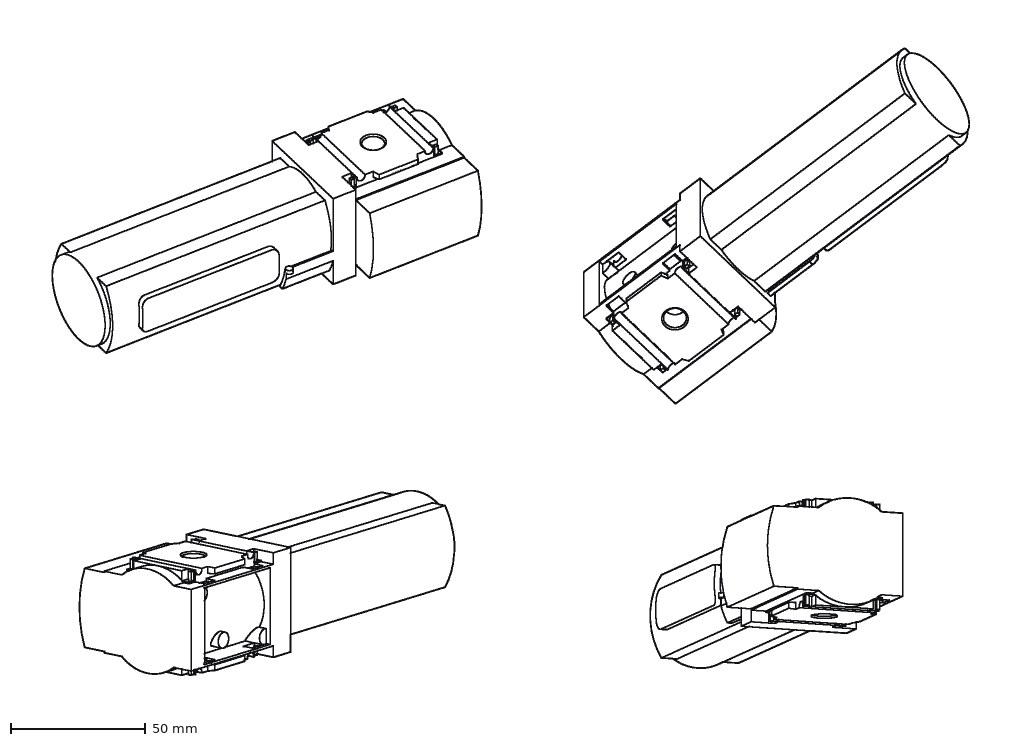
import cadquery as cq
import math

LENGTH = 160.4

COLLAR_HALF_X = 21.0
COLLAR_HALF_Z = 40.3 / 2
COLLAR_FRONT_Y = 100.2
COLLAR_BACK_Y = 110.4

FRAME_HALF_Z = 15.7
FRAME_BACK_Y = 158.3
CAP_FRONT_Y = 152.4
CROWN_FLAT_RADIUS = 10.0

BOWL_RADIUS = 36.4 / 2
BOWL_CONE_Y = 1.1
BOWL_TIP_RADIUS = 11.2
WING_FRONT_Y = 3.4
WING_HALF_X = 19.9
WING_CORNER_X = 15.4
WING_HALF_Z = FRAME_HALF_Z

PORT_Y = 131.5
PAD_HALF_X = 15.0
PAD_HALF_Y = 17.2
SADDLE_HALF_Z = 16.2
BRIDGE_HALF_X = 11.5
GROOVE_OFFSET_Y = 15.0
GROOVE_RADIUS = 1.8
GROOVE_DEPTH = 2.1
PORT_DIAMETER = 8.5
PORT_MOUTH_DIAMETER = 9.8
PORT_DEPTH = 9.6

RIB_REACH = 2.4
RIB_TIP_HALF_Y = 8.7
RIB_ROOT_HALF_Y = 9.8
RIB_BOTTOM_Z = 17.5
RIB_TIP_Z = 19.7

POST_WIDTH = 1.3
POST_LENGTH = 1.5
POST_GAP = 0.6
POST_INSET = 0.3
POST_TOP_Z = 19.9

WINDOW_FRONT_Y = 112.3
WINDOW_BACK_Y = 150.5
WINDOW_HALF_Z = 14.8
SLOT_OUTER_X = 19.2
SLOT_INNER_Y = 10.9
PIN_DIAMETER = 6.1
PIN_FACE_X = 19.2
CORNER_PIN_OFFSET_Y = 18.3
CORNER_PIN_Z = 11.9
LOWER_PIN_OFFSET_Y = 5.8
LOWER_PIN_Z = -8.3

PLATE_OUTER_X = 33.0
PLATE_EDGE_X = 30.5
PLATE_HALF_Z = 15.2

PANEL_FRONT_Y = 15.2
PANEL_BACK_Y = 75.7
PANEL_HALF_Z = 7.7
PANEL_CORNER_RADIUS = 3.0
BULGE_OFFSET = 2.4
LATCH_FRONT_Y = 79.4
LATCH_TOP_Z = -4.5
LATCH_BOTTOM_Z = -15.2
LATCH_GAP = 0.8
KNOB_RADIUS = 1.5
KNOB_X = COLLAR_HALF_X
KNOB_HEIGHT = 1.8


def span_box(x_span, y_span, z_span):
    """Box between two limits along each axis."""
    spans = (x_span, y_span, z_span)
    sizes = [high - low for low, high in spans]
    corner = tuple(low for low, high in spans)
    return cq.Workplane("XY").box(*sizes, centered=False).translate(corner)


def along_y(front_y):
    """Sketch plane across the bowl axis; solids extruded by -length grow toward +Y."""
    return cq.Workplane("XZ", origin=(0, front_y, 0))


def make_bowl():
    """Tube with a conical tip and two bulged wings along its sides."""
    core = (
        cq.Workplane("XY")
        .moveTo(0, 0)
        .lineTo(BOWL_TIP_RADIUS, 0)
        .lineTo(BOWL_RADIUS, BOWL_CONE_Y)
        .lineTo(BOWL_RADIUS, COLLAR_BACK_Y)
        .lineTo(0, COLLAR_BACK_Y)
        .close()
        .revolve(360, (0, 0, 0), (0, 1, 0))
    )
    wings = (
        along_y(WING_FRONT_Y)
        .moveTo(-WING_CORNER_X, -WING_HALF_Z)
        .lineTo(WING_CORNER_X, -WING_HALF_Z)
        .threePointArc((WING_HALF_X, 0), (WING_CORNER_X, WING_HALF_Z))
        .lineTo(-WING_CORNER_X, WING_HALF_Z)
        .threePointArc((-WING_HALF_X, 0), (-WING_CORNER_X, -WING_HALF_Z))
        .close()
        .extrude(WING_FRONT_Y - COLLAR_BACK_Y)
    )
    return core.union(wings)


def make_bulged_slab(front_y, back_y, offset):
    """Slab reaching from X = 0 to a bulged face lying a given offset outside the +X wing."""
    rise = WING_HALF_X - WING_CORNER_X
    wing_radius = (WING_HALF_Z**2 + rise**2) / (2 * rise)
    center_x = WING_HALF_X - wing_radius
    face_radius = wing_radius + offset
    edge_x = center_x + math.sqrt(face_radius**2 - WING_HALF_Z**2)
    return (
        along_y(front_y)
        .moveTo(0, -WING_HALF_Z)
        .lineTo(edge_x, -WING_HALF_Z)
        .threePointArc((center_x + face_radius, 0), (edge_x, WING_HALF_Z))
        .lineTo(0, WING_HALF_Z)
        .close()
        .extrude(front_y - back_y)
    )


def make_sight_panel():
    """Rounded panel laid on the +X wing of the bowl."""
    outline = span_box(
        (WING_CORNER_X, PLATE_OUTER_X), (PANEL_FRONT_Y, PANEL_BACK_Y), (-PANEL_HALF_Z, PANEL_HALF_Z)
    )
    outline = outline.edges("|X").fillet(PANEL_CORNER_RADIUS)
    return make_bulged_slab(PANEL_FRONT_Y, PANEL_BACK_Y, BULGE_OFFSET).intersect(outline)


def make_latch():
    """Curved tongue held by the collar and clear of the bowl, with a small knob at its end."""
    outline = span_box(
        (0, COLLAR_HALF_X), (LATCH_FRONT_Y, COLLAR_BACK_Y), (LATCH_BOTTOM_Z, LATCH_TOP_Z)
    )
    tongue = make_bulged_slab(LATCH_FRONT_Y, COLLAR_BACK_Y, BULGE_OFFSET).intersect(outline)
    tongue = tongue.cut(make_bulged_slab(LATCH_FRONT_Y, COLLAR_FRONT_Y, LATCH_GAP))
    knob = (
        cq.Workplane("XY", origin=(KNOB_X, LATCH_FRONT_Y + KNOB_RADIUS, LATCH_TOP_Z))
        .circle(KNOB_RADIUS)
        .extrude(-KNOB_HEIGHT)
    )
    return tongue.union(knob)


def make_head():
    """Collar, frame and round cap with a conical crown."""
    collar = span_box(
        (-COLLAR_HALF_X, COLLAR_HALF_X), (COLLAR_FRONT_Y, COLLAR_BACK_Y), (-COLLAR_HALF_Z, COLLAR_HALF_Z)
    )
    frame = span_box(
        (-COLLAR_HALF_X, COLLAR_HALF_X), (COLLAR_BACK_Y, FRAME_BACK_Y), (-FRAME_HALF_Z, FRAME_HALF_Z)
    )
    cap = (
        cq.Workplane("XY")
        .moveTo(0, CAP_FRONT_Y)
        .lineTo(COLLAR_HALF_Z, CAP_FRONT_Y)
        .lineTo(COLLAR_HALF_Z, FRAME_BACK_Y)
        .lineTo(CROWN_FLAT_RADIUS, LENGTH)
        .lineTo(0, LENGTH)
        .close()
        .revolve(360, (0, 0, 0), (0, 1, 0))
    )
    return collar.union(frame).union(cap)


def make_side_plate():
    """Plate with a bulged outer face on the +X side of the frame."""
    return (
        along_y(COLLAR_BACK_Y)
        .moveTo(0, -PLATE_HALF_Z)
        .lineTo(PLATE_EDGE_X, -PLATE_HALF_Z)
        .threePointArc((PLATE_OUTER_X, 0), (PLATE_EDGE_X, PLATE_HALF_Z))
        .lineTo(0, PLATE_HALF_Z)
        .close()
        .extrude(COLLAR_BACK_Y - FRAME_BACK_Y)
    )


def cut_window(head):
    """Open the -X side around the round core and slot the thin walls above and below."""
    core = along_y(WINDOW_FRONT_Y).circle(BOWL_RADIUS).extrude(WINDOW_FRONT_Y - WINDOW_BACK_Y)
    cavity = span_box(
        (-COLLAR_HALF_X, 0), (WINDOW_FRONT_Y, WINDOW_BACK_Y), (-WINDOW_HALF_Z, WINDOW_HALF_Z)
    )
    head = head.cut(cavity.cut(core))
    for slot_y in (
        (PORT_Y - PAD_HALF_Y, PORT_Y - SLOT_INNER_Y),
        (PORT_Y + SLOT_INNER_Y, PORT_Y + PAD_HALF_Y),
    ):
        for slot_z in ((-FRAME_HALF_Z, -WINDOW_HALF_Z), (WINDOW_HALF_Z, FRAME_HALF_Z)):
            head = head.cut(span_box((-SLOT_OUTER_X, -PAD_HALF_X), slot_y, slot_z))
    return head


def make_pins():
    """Round pins standing out of the core inside the window."""
    centers = [
        (PORT_Y + CORNER_PIN_OFFSET_Y, CORNER_PIN_Z),
        (PORT_Y - CORNER_PIN_OFFSET_Y, -CORNER_PIN_Z),
        (PORT_Y + LOWER_PIN_OFFSET_Y, LOWER_PIN_Z),
    ]
    pins = cq.Workplane("YZ", origin=(-PIN_FACE_X, 0, 0)).pushPoints(centers)
    pins = pins.circle(PIN_DIAMETER / 2).extrude(PIN_FACE_X)
    inside = span_box(
        (-COLLAR_HALF_X, 0), (COLLAR_BACK_Y, CAP_FRONT_Y), (-WINDOW_HALF_Z, WINDOW_HALF_Z)
    )
    return pins.intersect(inside)


def make_ribs():
    """Tapered clamping ribs on both sides of the upper pad, with tops sloping outward."""
    tip_x = PAD_HALF_X + RIB_REACH
    plan = (
        cq.Workplane("XY", origin=(0, PORT_Y, 0))
        .polyline(
            [
                (-PAD_HALF_X, -RIB_ROOT_HALF_Y),
                (-tip_x, -RIB_TIP_HALF_Y),
                (-tip_x, RIB_TIP_HALF_Y),
                (-PAD_HALF_X, RIB_ROOT_HALF_Y),
                (PAD_HALF_X, RIB_ROOT_HALF_Y),
                (tip_x, RIB_TIP_HALF_Y),
                (tip_x, -RIB_TIP_HALF_Y),
                (PAD_HALF_X, -RIB_ROOT_HALF_Y),
            ]
        )
        .close()
        .extrude(COLLAR_HALF_Z)
    )
    section = (
        along_y(PORT_Y - RIB_ROOT_HALF_Y)
        .polyline(
            [
                (-tip_x, RIB_BOTTOM_Z),
                (tip_x, RIB_BOTTOM_Z),
                (tip_x, RIB_TIP_Z),
                (PAD_HALF_X, COLLAR_HALF_Z),
                (-PAD_HALF_X, COLLAR_HALF_Z),
                (-tip_x, RIB_TIP_Z),
            ]
        )
        .close()
        .extrude(-2 * RIB_ROOT_HALF_Y)
    )
    return plan.intersect(section)


def make_upper_pad():
    """Grooved pad with its saddle, end bridges, ribs and corner posts."""
    pad_x = (-PAD_HALF_X, PAD_HALF_X)
    pad_y = (PORT_Y - PAD_HALF_Y, PORT_Y + PAD_HALF_Y)
    saddle_y = (COLLAR_BACK_Y, CAP_FRONT_Y)
    pad = span_box(pad_x, pad_y, (WINDOW_HALF_Z, COLLAR_HALF_Z))
    pad = pad.union(span_box(pad_x, saddle_y, (WINDOW_HALF_Z, SADDLE_HALF_Z)))
    bridge_x = (-BRIDGE_HALF_X, BRIDGE_HALF_X)
    pad = pad.union(span_box(bridge_x, saddle_y, (WINDOW_HALF_Z, COLLAR_HALF_Z)))
    pad = pad.union(make_ribs())

    for side_x in (-1, 1):
        for side_y in (-1, 1):
            post = cq.Workplane("XY").box(POST_WIDTH, POST_LENGTH, POST_TOP_Z - WINDOW_HALF_Z)
            post_x = side_x * (PAD_HALF_X - POST_INSET - POST_WIDTH / 2)
            post_y = PORT_Y + side_y * (PAD_HALF_Y + POST_GAP + POST_LENGTH / 2)
            pad = pad.union(post.translate((post_x, post_y, (POST_TOP_Z + WINDOW_HALF_Z) / 2)))

    groove_z = COLLAR_HALF_Z - GROOVE_DEPTH + GROOVE_RADIUS
    for groove_y in (PORT_Y - GROOVE_OFFSET_Y, PORT_Y + GROOVE_OFFSET_Y):
        round_bottom = (
            cq.Workplane("YZ", origin=(-PAD_HALF_X, groove_y, groove_z))
            .circle(GROOVE_RADIUS)
            .extrude(2 * PAD_HALF_X)
        )
        mouth_y = (groove_y - GROOVE_RADIUS, groove_y + GROOVE_RADIUS)
        pad = pad.cut(round_bottom).cut(span_box(pad_x, mouth_y, (groove_z, COLLAR_HALF_Z)))
    return pad


def make_upper_port():
    """Cutter for the round port with its countersunk mouth."""
    mouth_depth = (PORT_MOUTH_DIAMETER - PORT_DIAMETER) / 2
    bore = (
        cq.Workplane("XY", origin=(0, PORT_Y, COLLAR_HALF_Z))
        .circle(PORT_DIAMETER / 2)
        .extrude(-PORT_DEPTH)
    )
    mouth = (
        cq.Workplane("XY", origin=(0, PORT_Y, COLLAR_HALF_Z))
        .circle(PORT_MOUTH_DIAMETER / 2)
        .workplane(offset=-mouth_depth)
        .circle(PORT_DIAMETER / 2)
        .loft()
    )
    return bore.union(mouth)


pad = make_upper_pad()
port = make_upper_port()

result = cut_window(make_head().union(make_side_plate())).union(make_pins())
result = result.union(pad).union(pad.mirror("XY"))
result = result.cut(port).cut(port.mirror("XY"))
result = result.union(make_bowl()).union(make_sight_panel()).union(make_latch())